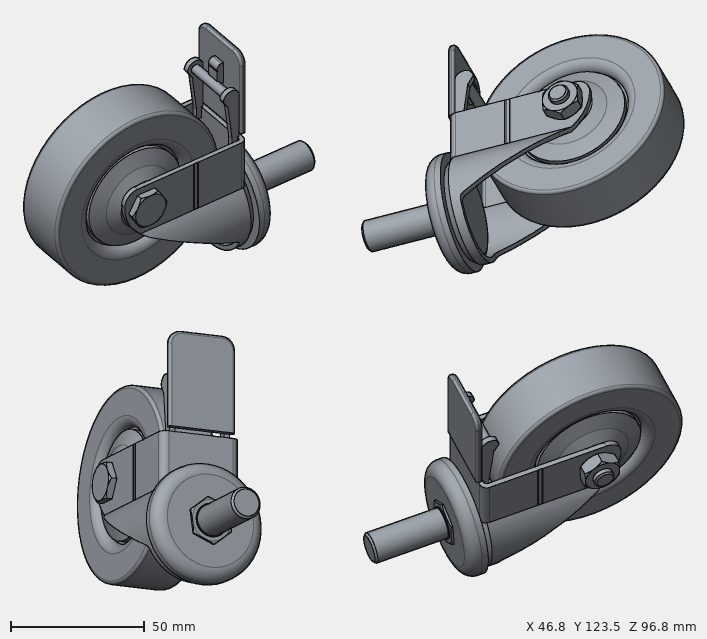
import cadquery as cq
import math


overall_length = 123.5
overall_height = 96.8

wheel_radius = 37.5
wheel_half_width = 11.0
tread_fillet = 1.2
rim_radius = 26.0
rim_fillet = 4.0
cone_outer_radius = 21.1
cone_outer_x = 8.9
cone_middle_radius = 15.0
cone_middle_x = 11.4
hub_radius = 10.1

bolt_radius = 4.0
bolt_tip_x = -23.8
bolt_tip_chamfer = 0.6
hex_across_flats = 14.0
hex_chamfer = 0.7
bolt_head_height = 3.0
nut_height = 5.3

swivel_z = -25.2
cap_radius = 23.0
cap_back_y = 47.4
cap_front_y = 55.0
cap_fillet = 5.1
collar_across_flats = 15.9
collar_turn = 22
collar_height = 1.0
collar_chamfer = 0.4
shoulder_radius = 6.4
shoulder_y = 56.3
stem_radius = 6.0
stem_end_y = overall_length - wheel_radius
stem_chamfer = 0.9

sheet = 2.0
leg_inner_x = 14.2
leg_outer_x = leg_inner_x + sheet
skirt_radius = 21.0
neck_radius = 19.1
neck_bevel_length = 2.5
fork_front_y = 46.8
fork_top_z = 9.9
bend_outer_radius = 2.8
bend_inner_radius = 1.0
boss_radius = 17.4
boss_height = 0.7
base_inner_y = fork_front_y - sheet
leg_tip_y = -9.9
leg_corner_radius = 5.9
tip_arc_mid = (-7.3, -6.2)
tip_arc_end = (2.0, -14.7)
skirt_edge_y = 41.1
skirt_edge_z = -34.0
skirt_edge_fillet = 2.2
leg_groove_y = 23.1
leg_groove_width = 2.2
leg_groove_floor = 1.5
leg_groove_depth = 0.1

pedal_half_width = 13.7
pedal_bottom_z = 11.6
pedal_top_z = overall_height + swivel_z - cap_radius
pedal_front_y = 48.0
pedal_back_y = 45.6
pedal_corner_radius = 5.2
pedal_edge_fillet = 1.0
ear_radius = 3.7
ear_y = 42.1
ear_z = 29.3
ear_lower_point = (40.5, 25.9)
arm_inner_x = 10.2
arm_thickness = 2.2
arm_fork_y = 42.5
arm_bottom_z = 5.0
pin_radius = 2.0
tab_half_width = 2.7
tab_back_y = 42.6
tab_top_z = 38.8
tab_head_radius = 2.0
tab_shank_top_z = 35.7


def cylinder_x(radius, x_start, x_end):
    """Cylinder on the wheel axle between two X positions."""
    return cq.Workplane("YZ", origin=(x_start, 0, 0)).circle(radius).extrude(x_end - x_start)


def cylinder_y(radius, y_start, y_end):
    """Cylinder on the swivel axis between two Y positions."""
    sketch = cq.Workplane("XZ", origin=(0, y_end, swivel_z))
    return sketch.circle(radius).extrude(y_end - y_start)


def box_between(corner_a, corner_b):
    """Axis-aligned box given by two opposite corners."""
    size = [b - a for a, b in zip(corner_a, corner_b)]
    return cq.Workplane("XY").box(*size, centered=False).translate(corner_a)


def side_prism(sketch, x_start, x_end):
    """Extrude a closed YZ outline along X."""
    return sketch.extrude(x_end - x_start).translate((x_start, 0, 0))


def across_corners(across_flats):
    """Corner-to-corner width of a regular hexagon."""
    return across_flats / math.cos(math.radians(30))


def make_wheel():
    floor_x = wheel_half_width - rim_fillet
    rim_floor_radius = rim_radius - rim_fillet
    arc_offset = rim_fillet * math.sqrt(0.5)
    rim_mid = (floor_x + arc_offset, rim_radius - arc_offset)
    profile = (
        cq.Workplane("XY")
        .moveTo(-leg_inner_x, bolt_radius)
        .lineTo(leg_inner_x, bolt_radius)
        .lineTo(leg_inner_x, hub_radius)
        .lineTo(cone_middle_x, cone_middle_radius)
        .lineTo(cone_outer_x, cone_outer_radius)
        .lineTo(floor_x, cone_outer_radius)
        .lineTo(floor_x, rim_floor_radius)
        .threePointArc(rim_mid, (wheel_half_width, rim_radius))
        .lineTo(wheel_half_width, wheel_radius - tread_fillet)
        .radiusArc((wheel_half_width - tread_fillet, wheel_radius), -tread_fillet)
        .lineTo(tread_fillet - wheel_half_width, wheel_radius)
        .radiusArc((-wheel_half_width, wheel_radius - tread_fillet), -tread_fillet)
        .lineTo(-wheel_half_width, rim_radius)
        .threePointArc((-rim_mid[0], rim_mid[1]), (-floor_x, rim_floor_radius))
        .lineTo(-floor_x, cone_outer_radius)
        .lineTo(-cone_outer_x, cone_outer_radius)
        .lineTo(-cone_middle_x, cone_middle_radius)
        .lineTo(-leg_inner_x, hub_radius)
        .close()
    )
    return profile.revolve(360, (0, 0, 0), (1, 0, 0))


def hex_prism(x_start, x_end, turn):
    """Hexagonal prism on the axle; turn = 0 puts two corners on the Y axis."""
    sketch = cq.Workplane("YZ", origin=(x_start, 0, 0)).transformed(rotate=(0, 0, turn))
    return sketch.polygon(6, across_corners(hex_across_flats)).extrude(x_end - x_start)


def corner_trim(x_start, x_end, ends):
    """Chamfered cylinder that bevels the hexagon corners at the selected ends."""
    corner_radius = across_corners(hex_across_flats) / 2
    bevel = corner_radius - hex_across_flats / 2
    return cylinder_x(corner_radius, x_start, x_end).faces(ends).chamfer(hex_chamfer, bevel)


def make_bolt():
    head_end_x = leg_outer_x + bolt_head_height
    head = hex_prism(leg_outer_x, head_end_x, 0)
    head = head.intersect(corner_trim(leg_outer_x, head_end_x, ">X"))
    shank = cylinder_x(bolt_radius, bolt_tip_x, leg_outer_x)
    shank = shank.faces("<X").chamfer(bolt_tip_chamfer)
    return head.union(shank)


def make_nut():
    outer_x = -leg_outer_x - nut_height
    nut = hex_prism(outer_x, -leg_outer_x, 90)
    nut = nut.intersect(corner_trim(outer_x, -leg_outer_x, "|X"))
    return nut.cut(cylinder_x(bolt_radius, outer_x, -leg_outer_x))


def make_cap():
    cap = cylinder_y(cap_radius, cap_back_y, cap_front_y)
    return cap.faces(">Y").edges().fillet(cap_fillet)


def make_stem():
    collar_radius = across_corners(collar_across_flats) / 2
    collar_end_y = cap_front_y + collar_height
    sketch = cq.Workplane("XZ", origin=(0, collar_end_y, swivel_z))
    sketch = sketch.transformed(rotate=(0, 0, collar_turn))
    collar = sketch.polygon(6, 2 * collar_radius).extrude(collar_height)
    bevel = collar_radius - collar_across_flats / 2
    trim = cylinder_y(collar_radius, cap_front_y, collar_end_y)
    collar = collar.intersect(trim.faces(">Y").chamfer(collar_chamfer, bevel))
    shoulder = cylinder_y(shoulder_radius, cap_front_y, shoulder_y)
    rod = cylinder_y(stem_radius, cap_front_y, stem_end_y)
    rod = rod.faces(">Y").chamfer(stem_chamfer)
    return collar.union(shoulder).union(rod)


def channel(half_width, front_y, bend_radius):
    """Flat-sided upper part of the fork, or of its cavity."""
    sides = box_between((-half_width, leg_tip_y, swivel_z), (half_width, front_y, fork_top_z))
    return sides.edges("|Z and >Y").fillet(bend_radius)


def fork_side_outline():
    """YZ outline of the fork: leg, rounded tip, sloping edge and skirt."""
    skirt_bottom_z = swivel_z - skirt_radius
    outline = (
        cq.Workplane("YZ")
        .moveTo(cap_back_y, fork_top_z)
        .lineTo(leg_tip_y + leg_corner_radius, fork_top_z)
        .radiusArc((leg_tip_y, fork_top_z - leg_corner_radius), -leg_corner_radius)
        .threePointArc(tip_arc_mid, tip_arc_end)
        .lineTo(skirt_edge_y, skirt_edge_z)
        .lineTo(skirt_edge_y, skirt_bottom_z)
        .lineTo(cap_back_y, skirt_bottom_z)
        .close()
    )
    prism = side_prism(outline, -skirt_radius, skirt_radius)
    inner_corner = cq.selectors.NearestToPointSelector((0, skirt_edge_y, skirt_edge_z))
    return prism.edges("|X").edges(inner_corner).fillet(skirt_edge_fillet)


def make_leg_groove():
    """Cutter for the shallow bevelled groove in the outer face of the +X leg."""
    bottom_z = swivel_z + math.sqrt(skirt_radius**2 - leg_outer_x**2)
    groove_length = fork_top_z - bottom_z
    floor_x = leg_outer_x - leg_groove_depth
    return (
        cq.Workplane("XY", origin=(0, leg_groove_y, bottom_z))
        .moveTo(leg_outer_x, -leg_groove_width / 2)
        .lineTo(leg_outer_x, leg_groove_width / 2)
        .lineTo(floor_x, leg_groove_floor / 2)
        .lineTo(floor_x, -leg_groove_floor / 2)
        .close()
        .extrude(groove_length)
    )


def make_fork():
    skirt = cylinder_y(skirt_radius, leg_tip_y, cap_back_y)
    skirt = skirt.faces(">Y").chamfer(neck_bevel_length, skirt_radius - neck_radius)
    outer = channel(leg_outer_x, fork_front_y, bend_outer_radius).union(skirt)
    skirt_cavity = cylinder_y(skirt_radius - sheet, leg_tip_y, base_inner_y)
    cavity = channel(leg_inner_x, base_inner_y, bend_inner_radius).union(skirt_cavity)
    fork = outer.cut(cavity).intersect(fork_side_outline())
    boss = cylinder_y(boss_radius, base_inner_y - boss_height, base_inner_y)
    axle_hole = cylinder_x(bolt_radius, -leg_outer_x, leg_outer_x)
    groove = make_leg_groove()
    fork = fork.union(boss).cut(axle_hole)
    return fork.cut(groove).cut(groove.mirror("YZ"))


def make_pedal_plate():
    plate = box_between(
        (-pedal_half_width, pedal_back_y, pedal_bottom_z),
        (pedal_half_width, pedal_front_y, pedal_top_z),
    )
    plate = plate.edges("|Y and >Z").fillet(pedal_corner_radius)
    return plate.faces("<Y or >Y").edges("not <Z").fillet(pedal_edge_fillet)


def make_pedal_arm(x_start):
    """Side arm with a round ear; its foot rests on the inner face of the fork base."""
    ear_plate_z = ear_z + math.sqrt(ear_radius**2 - (pedal_back_y - ear_y) ** 2)
    outline = (
        cq.Workplane("YZ")
        .moveTo(pedal_back_y, ear_plate_z)
        .threePointArc((ear_y, ear_z + ear_radius), (ear_y - ear_radius, ear_z))
        .lineTo(*ear_lower_point)
        .lineTo(arm_fork_y, fork_top_z)
        .lineTo(arm_fork_y, arm_bottom_z)
        .lineTo(base_inner_y, arm_bottom_z)
        .lineTo(base_inner_y, fork_top_z)
        .lineTo(pedal_back_y, fork_top_z)
        .close()
    )
    return side_prism(outline, x_start, x_start + arm_thickness)


def make_pedal_tab():
    """Central tab: a flat shank with a rounded head above it."""
    head_y = tab_back_y + tab_head_radius
    head_z = tab_top_z - tab_head_radius
    shank_start = (-tab_half_width, tab_back_y, ear_z)
    shank = box_between(shank_start, (tab_half_width, pedal_back_y, tab_shank_top_z))
    head = cylinder_x(tab_head_radius, -tab_half_width, tab_half_width).translate((0, head_y, head_z))
    root_start = (-tab_half_width, head_y, ear_z)
    root = box_between(root_start, (tab_half_width, pedal_back_y, tab_top_z))
    return shank.union(head).union(root)


def make_pedal():
    pedal = make_pedal_plate()
    for x_start in (arm_inner_x, -arm_inner_x - arm_thickness):
        pedal = pedal.union(make_pedal_arm(x_start))
    pin = cylinder_x(pin_radius, -arm_inner_x, arm_inner_x).translate((0, ear_y, ear_z))
    return pedal.union(pin).union(make_pedal_tab())


wheel = make_wheel()
bolt = make_bolt()
nut = make_nut()
cap = make_cap()
stem = make_stem()
fork = make_fork()
pedal = make_pedal()

bodies = [wheel, bolt, nut, cap, stem, fork, pedal]
result = cq.Compound.makeCompound([body.solids().val() for body in bodies])